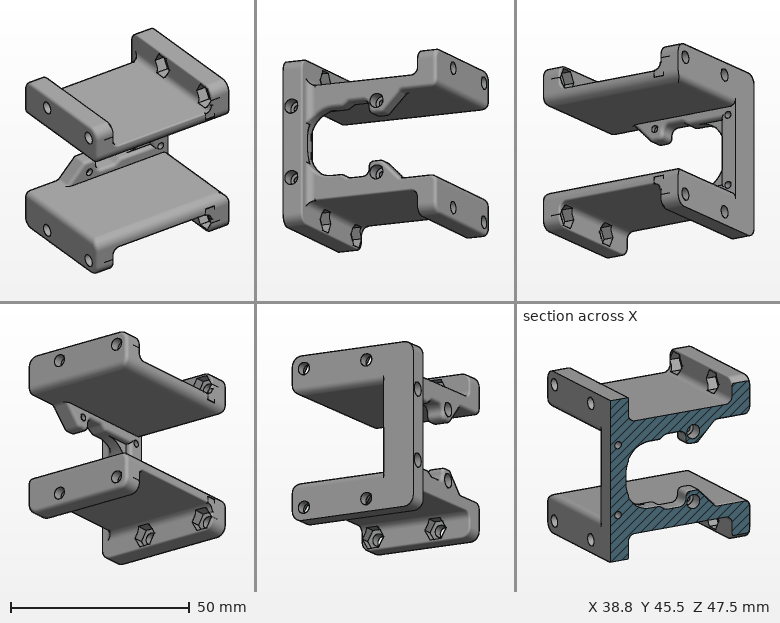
import cadquery as cq
import math


arm_width = 34.8
plate_overhang = 4.0
half_height = 47.5 / 2
total_depth = 45.5
flange_thickness = 6.0
arm_inner_z = 12.6
arm_outer_z = 16.6
flange_back = total_depth - flange_thickness

corner_radius = 3.0
root_radius = 2.0
end_inner_radius = 2.0
rim_radius = 1.0
edge_radius = 0.5

rib_width = 5.5
rib_embedding = 2.5
column_depth = 4.95
cheek_radius = 8.0
gusset_end_x = 3.8
ledge_z = 9.65
ledge_end = 16.1
dip_z = 10.9
dip_start = 18.1
dip_end = 24.4
boss_z = 6.8
boss_end = 28.45
slope_end = boss_end + arm_inner_z - boss_z
rib_end = slope_end + 3.0
cheek_center_depth = column_depth + cheek_radius
cheek_center_z = ledge_z - cheek_radius
small_corner_radius = 1.5
dip_radius = 2.0

recess_end_x = 0.9
recess_slant_run = 1.5
recess_slant_angle = math.degrees(math.atan2(flange_thickness - column_depth, recess_slant_run))

screw_diameter = 3.5
screw_x = (11.1, 31.1)
screw_z = 20.0
nut_flats = 5.9
nut_depth = 3.0
side_hole_depths = (2.55, 27.0)
side_hole_z = 10.25
side_hole_diameter = 2.0
side_bore_diameter = 4.0
side_bore_length = 4.0

TOLERANCE = 0.001


def box(x_range, depth_range, z_range):
    """Box between limits along X, in depth, and along Z."""
    size_x = x_range[1] - x_range[0]
    size_y = depth_range[1] - depth_range[0]
    size_z = z_range[1] - z_range[0]
    block = cq.Workplane("XY").box(size_x, size_y, size_z, centered=False)
    return block.translate((x_range[0], -depth_range[1], z_range[0]))


def fillet_where(body, test, radius):
    """Round every edge whose bounding box passes the test."""
    return body.edges().filter(lambda edge: test(edge.BoundingBox())).fillet(radius)


def at_x(bounds, x):
    return abs(bounds.xmin - x) < TOLERANCE and abs(bounds.xmax - x) < TOLERANCE


def at_depth(bounds, depth):
    return abs(bounds.ymin + depth) < TOLERANCE and abs(bounds.ymax + depth) < TOLERANCE


def at_z(bounds, z):
    return abs(bounds.zmin - z) < TOLERANCE and abs(bounds.zmax - z) < TOLERANCE


def recess_outline():
    """Side outline of the recess between the cheek arcs, at the foot of its slanted end."""
    return (
        cq.Workplane("YZ", origin=(recess_end_x, 0, 0))
        .moveTo(-total_depth, -ledge_z)
        .lineTo(-cheek_center_depth, -ledge_z)
        .radiusArc((-column_depth, -cheek_center_z), -cheek_radius)
        .lineTo(-column_depth, cheek_center_z)
        .radiusArc((-cheek_center_depth, ledge_z), -cheek_radius)
        .lineTo(-total_depth, ledge_z)
        .close()
    )


def column_recess():
    """Recess cut into the column, narrowing toward -X over its slanted end."""
    straight = recess_outline().extrude(rib_width - recess_end_x)
    slanted = recess_outline().extrude(-recess_slant_run, taper=recess_slant_angle)
    beside_gusset = box((gusset_end_x, rib_width), (column_depth, flange_thickness), (0, ledge_z))
    return straight.union(slanted).union(beside_gusset)


def back_plate():
    """Upper half of the plate; the rib and the arm fill in the rim of its opening."""
    column_right = rib_width - rim_radius
    plate = box((-plate_overhang, arm_width), (0, flange_thickness), (0, half_height))
    plate = plate.edges("|Y and >Z").fillet(corner_radius)
    plate = plate.edges("<Y").edges("not <Z").fillet(edge_radius)
    opening_top = arm_inner_z + corner_radius
    opening = box((column_right, arm_width), (0, flange_thickness), (0, opening_top))
    return plate.cut(opening).cut(column_recess())


def arm():
    """Arm with its front flange, their rounded edges, and a seat cut out for the rib."""
    body = (
        cq.Workplane("YZ")
        .moveTo(0, arm_inner_z)
        .lineTo(-total_depth, arm_inner_z)
        .lineTo(-total_depth, half_height)
        .lineTo(-flange_back, half_height)
        .lineTo(-flange_back, arm_outer_z)
        .lineTo(0, arm_outer_z)
        .close()
        .extrude(arm_width)
    )

    def end_inner_edge(b):
        return at_z(b, arm_inner_z) and (at_depth(b, total_depth) or at_depth(b, 0))

    def flange_root(b):
        return at_depth(b, flange_back) and at_z(b, arm_outer_z)

    def rim(b):
        on_front = at_depth(b, total_depth) and b.zmax > arm_inner_z + end_inner_radius + TOLERANCE
        return on_front or (at_x(b, 0) and at_z(b, arm_inner_z))

    def outer_edge(b):
        on_side = at_x(b, 0) or at_x(b, arm_width)
        behind_flange = at_depth(b, flange_back) and b.zmax > arm_outer_z + root_radius + TOLERANCE
        return behind_flange or (on_side and at_z(b, arm_outer_z))

    envelope = box((0, arm_width), (0, total_depth), (arm_inner_z, half_height))
    envelope = envelope.edges("|Y").edges(">Z or >X").fillet(corner_radius)
    body = fillet_where(body, end_inner_edge, end_inner_radius)
    body = body.intersect(envelope)
    body = fillet_where(body, flange_root, root_radius)
    body = fillet_where(body, rim, rim_radius)
    body = fillet_where(body, outer_edge, edge_radius)
    rib_seat = box((0, rib_width / 2), (0, rib_end), (arm_inner_z, arm_inner_z + rib_embedding))
    return body.cut(rib_seat)


def root_across(x_start, x_end):
    """Side outline of the concave root on the arm's outer face, run between two X positions."""
    tip = flange_thickness + root_radius
    return (
        cq.Workplane("YZ", origin=(x_start, 0, 0))
        .moveTo(-column_depth, 0)
        .lineTo(-column_depth, arm_outer_z + root_radius)
        .lineTo(-flange_thickness, arm_outer_z + root_radius)
        .radiusArc((-tip, arm_outer_z), root_radius)
        .lineTo(-tip, 0)
        .close()
        .extrude(x_end - x_start)
    )


def corner_root():
    """Concave root around the arm's free side, mitred with the one on its outer face."""
    tip = flange_thickness + root_radius
    inside_x = rib_width - rim_radius
    beside_arm = (
        cq.Workplane("XY")
        .moveTo(inside_x, -column_depth)
        .lineTo(-root_radius, -column_depth)
        .lineTo(-root_radius, -flange_thickness)
        .radiusArc((0, -tip), root_radius)
        .lineTo(inside_x, -tip)
        .close()
        .extrude(half_height)
    )
    mitred = beside_arm.intersect(root_across(-root_radius, rib_width))
    below_cheek = box((-root_radius, rib_width), (0, total_depth), (0, cheek_center_z))
    beside_gusset = box((gusset_end_x, rib_width), (0, total_depth), (0, ledge_z))
    return mitred.cut(cheek_cylinder()).cut(below_cheek).cut(beside_gusset)


def cheek_cylinder():
    """Round space that hollows the gusset and the corner root."""
    return (
        cq.Workplane("YZ", origin=(-root_radius, 0, 0))
        .center(-cheek_center_depth, cheek_center_z)
        .circle(cheek_radius)
        .extrude(root_radius + rib_width)
    )


def gusset():
    """Hollow-faced gusset in the corner between the column and the rib's first ledge."""
    block = box(
        (0, gusset_end_x), (column_depth, cheek_center_depth), (cheek_center_z, ledge_z)
    )
    return block.cut(cheek_cylinder())


def rib():
    """Column half and shaped rib, joined to the corner root, with rounded inner edges."""
    body = (
        cq.Workplane("YZ")
        .lineTo(-column_depth, 0)
        .lineTo(-column_depth, ledge_z)
        .lineTo(-ledge_end, ledge_z)
        .lineTo(-dip_start, dip_z)
        .lineTo(-dip_end, dip_z)
        .lineTo(-dip_end, boss_z)
        .lineTo(-boss_end, boss_z)
        .lineTo(-slope_end, arm_inner_z)
        .lineTo(-rib_end, arm_inner_z)
        .lineTo(-rib_end, arm_inner_z + rib_embedding)
        .lineTo(0, arm_inner_z + rib_embedding)
        .close()
        .extrude(rib_width)
    )
    corners = (
        (ledge_end, ledge_z, small_corner_radius),
        (dip_start, dip_z, small_corner_radius),
        (dip_end, dip_z, dip_radius),
        (dip_end, boss_z, small_corner_radius),
        (boss_end, boss_z, small_corner_radius),
        (slope_end, arm_inner_z, small_corner_radius),
    )
    for depth, z, radius in corners:
        nearest = cq.selectors.NearestToPointSelector((rib_width / 2, -depth, z))
        body = body.edges("|X").edges(nearest).fillet(radius)
    body = body.union(gusset()).union(corner_root())

    def inner_edge(b):
        return b.zmax < arm_inner_z + TOLERANCE and b.ymax < -column_depth + TOLERANCE

    def right_edge(b):
        return at_x(b, rib_width) and inner_edge(b)

    def left_edge(b):
        root_tip = flange_thickness + root_radius
        along_rib = at_x(b, 0) and b.ymax < -root_tip + TOLERANCE
        along_root = b.xmax < TOLERANCE and b.xmax - b.xmin > rim_radius and b.ymin < -flange_thickness
        return inner_edge(b) and (along_rib or along_root)

    body = fillet_where(body, right_edge, rim_radius)
    return fillet_where(body, left_edge, rim_radius)


def screw_holes():
    """Screw holes through plate and flange, with nut pockets on the faces between them."""
    nut_corners = nut_flats / math.cos(math.pi / 6)
    first_depth = flange_thickness - nut_depth
    pocket_length = nut_depth + root_radius
    places = [(x, screw_z) for x in screw_x]
    holes = cq.Workplane("XZ").pushPoints(places).circle(screw_diameter / 2).extrude(total_depth)
    for start in (first_depth, flange_back - root_radius):
        pockets = (
            cq.Workplane("XZ", origin=(0, -start, 0))
            .pushPoints(places)
            .polygon(6, nut_corners)
            .extrude(pocket_length)
        )
        holes = holes.union(pockets)
    return holes


def side_holes():
    """Counterbored holes along X, one in the plate and one in the rib's boss."""
    entries = (-plate_overhang, 0)
    holes = cq.Workplane("YZ")
    for depth, entry in zip(side_hole_depths, entries):
        face = cq.Workplane("YZ", origin=(entry, -depth, side_hole_z))
        holes = holes.add(face.circle(side_hole_diameter / 2).extrude(rib_width - entry))
        holes = holes.add(face.circle(side_bore_diameter / 2).extrude(side_bore_length))
    return holes.combine()


def arm_root():
    """Concave root along the whole outer face of the arm."""
    root_band = box((0, arm_width), (0, total_depth), (arm_outer_z - root_radius, half_height))
    return root_across(0, arm_width).intersect(root_band)


upper_half = back_plate().union(arm()).union(arm_root()).union(rib())
upper_half = upper_half.cut(screw_holes()).cut(side_holes())
result = upper_half.union(upper_half.mirror("XY"))